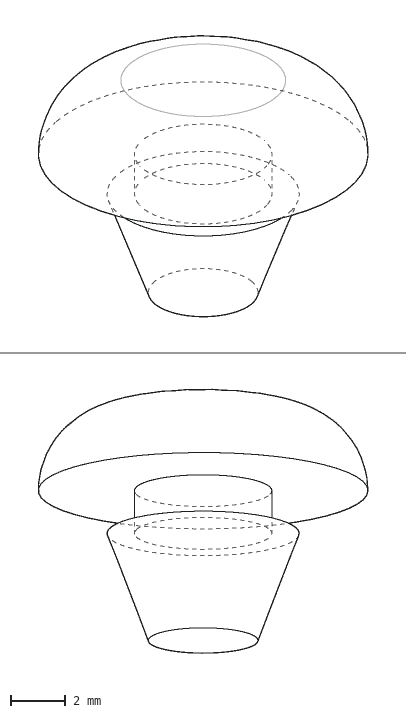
import cadquery as cq

head_diameter = 12.0
head_height = 3.0
neck_diameter = 5.0
neck_height = 1.6
barb_top_diameter = 7.0
barb_tip_diameter = 4.0
barb_height = 4.01

neck_base_z = barb_height
head_base_z = neck_base_z + neck_height


def make_barb():
    """Tapered plug, widening from the tip up to a flat shoulder."""
    return (
        cq.Workplane("XZ")
        .lineTo(barb_tip_diameter / 2, 0)
        .lineTo(barb_top_diameter / 2, barb_height)
        .lineTo(0, barb_height)
        .close()
        .revolve(360, (0, 0, 0), (0, 1, 0))
    )


def make_neck():
    """Plain cylinder joining the barb to the head."""
    return (
        cq.Workplane("XY")
        .workplane(offset=neck_base_z)
        .circle(neck_diameter / 2)
        .extrude(neck_height)
    )


def make_head():
    """Button head: flat top with a quarter-round rim over its full height."""
    head_radius = head_diameter / 2
    flat_radius = head_radius - head_height
    return (
        cq.Workplane("XZ", origin=(0, 0, head_base_z))
        .lineTo(head_radius, 0)
        .radiusArc((flat_radius, head_height), -head_height)
        .lineTo(0, head_height)
        .close()
        .revolve(360, (0, 0, 0), (0, 1, 0))
    )


result = make_barb().union(make_neck()).union(make_head())